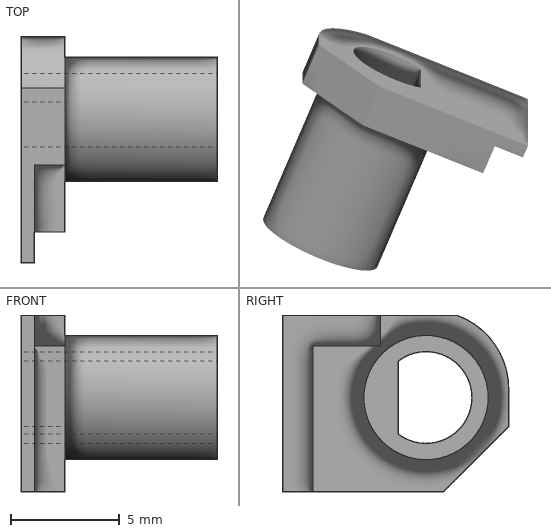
import cadquery as cq
import math


flange_thickness = 2.0
flange_front = -6.58
flange_back = 3.8
flange_top = 3.77
flange_height = 8.1
flange_bottom = flange_top - flange_height
corner_chamfer = 3.0
corner_radius = 3.6
corner_center_y = flange_back - corner_radius
corner_center_z = 0.39

web_thickness = 0.6
lip_width = 1.4
top_relief_start = -2.1

total_length = 9.0
bushing_diameter = 5.7
bore_diameter = 4.2
bore_flat_offset = 1.27


def corner_point(angle):
    """Point on the rounded corner at an angle from the +Y direction."""
    y = corner_center_y + corner_radius * math.cos(angle)
    z = corner_center_z + corner_radius * math.sin(angle)
    return y, z


def make_flange():
    """Plate with one rounded corner and one chamfered corner."""
    arc_end_angle = math.asin((flange_top - corner_center_z) / corner_radius)
    return (
        cq.Workplane("YZ")
        .moveTo(flange_front, flange_bottom)
        .lineTo(flange_back - corner_chamfer, flange_bottom)
        .lineTo(flange_back, flange_bottom + corner_chamfer)
        .lineTo(flange_back, corner_center_z)
        .threePointArc(corner_point(arc_end_angle / 2), corner_point(arc_end_angle))
        .lineTo(flange_front, flange_top)
        .close()
        .extrude(flange_thickness)
    )


def make_relief():
    """L-shaped step along the front edge and part of the top edge."""
    step_y = flange_front + lip_width
    step_z = flange_top - lip_width
    return (
        cq.Workplane("YZ", origin=(web_thickness, 0, 0))
        .moveTo(flange_front, flange_bottom)
        .lineTo(step_y, flange_bottom)
        .lineTo(step_y, step_z)
        .lineTo(top_relief_start, step_z)
        .lineTo(top_relief_start, flange_top)
        .lineTo(flange_front, flange_top)
        .close()
        .extrude(flange_thickness - web_thickness)
    )


def make_bushing():
    """Cylinder running from the outer flange face to the free end."""
    return cq.Workplane("YZ").circle(bushing_diameter / 2).extrude(total_length)


def make_bore():
    """D-shaped through hole with its flat on the front side."""
    bore_radius = bore_diameter / 2
    flat_half_height = math.sqrt(bore_radius**2 - bore_flat_offset**2)
    return (
        cq.Workplane("YZ")
        .moveTo(-bore_flat_offset, -flat_half_height)
        .threePointArc((bore_radius, 0), (-bore_flat_offset, flat_half_height))
        .close()
        .extrude(total_length)
    )


flange = make_flange().cut(make_relief())
result = flange.union(make_bushing()).cut(make_bore())